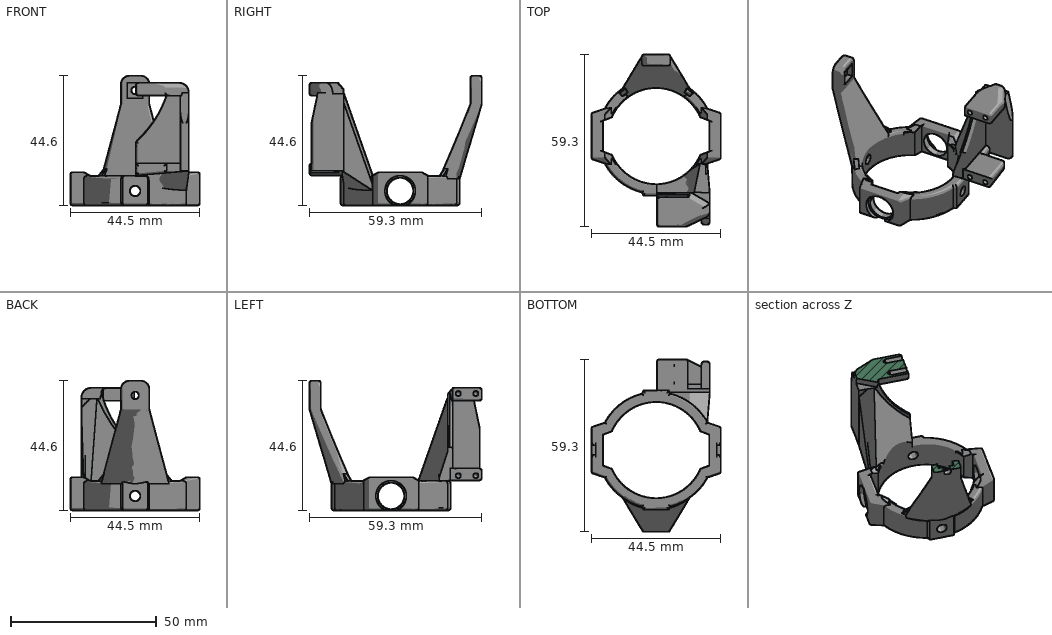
import cadquery as cq
import math

NEAR = 0.1
CLEAR = 1.0

BORE_R = 16.5
RING_R = 20.0
RING_H = 10.2
EDGE_R = 1.0
PAD_Y = 20.5
PAD_HALF = 4.3
PAD_FLARE = 0.7
PAD_ROOT_Y = PAD_Y - 2 * PAD_FLARE
AXIS_Z = 5.0
SCREW_D = 3.5

BOX_X = 22.25
BOX_ROOT_X = 16.9
BOX_HALF = 7.9
BOX_ROOT_HALF = 9.7
BOX_H = 11.5
BOX_FLAT_HALF = 7.35
BOX_TOP_X = 17.6
BOX_FOOT_X = 15.0
BOX_FOOT_Z = 10.0
BOX_HOLLOW = 0.2
BOX_ROUND = 0.9
POCKET_X = 18.2
POCKET_HALF = 5.3
POCKET_MOUTH_X = 15.0
POCKET_MOUTH_HALF = 6.5
PIVOT_D = 9.0
PIVOT_RECESS_D = 10.5
PIVOT_RECESS_DEPTH = 1.5

TAB_HALF = 4.9
TAB_BACK = 28.1
TAB_T = 4.0
TAB_BASE_Z = 34.8
TAB_TOP = 44.62
TAB_CORNER_R = 3.0
ARM_OUTER = (12.1, 15.9)
ARM_INNER = (10.1, 13.05)
ARM_ROUND = 0.9
FLARE_INNER_R = 17.9
FLARE_OUTER_R = 19.5
FLARE_WIDE_ANGLE = 42.0
FLARE_NARROW_ANGLE = 33.0
FLARE_TOP = 12.6
NUT_Z = 39.55
NUT_SIZE = 5.3
NUT_DEPTH = 2.0
NUT_SCREW_D = 2.5

CAGE_LEFT = 0.25
CAGE_RIGHT = 18.5
CAGE_BACK = -19.4
CAGE_FRONT = -31.2
WALL_FACE = -21.1
CAGE_TOP = 42.2
CAGE_CORNER_R = 3.5
FLOOR_LEFT_Z = 10.3
FLOOR_RIGHT_Z = 11.9
LOWER_TOP = 14.5
UPPER_BOTTOM = 37.7
LOWER_RIGHT = 10.9
LEDGE_DEPTH = 1.5
SIDE_FACE = 15.5
SIDE_FRONT = -30.5
SIDE_BEND_Z = 28.2
SIDE_TOP_FRONT = -28.3
CURVE_FOOT_Z = 21.8
CURVE_MID = (6.6, 29.2)
CURVE_TOP_X = 12.0
UPPER_STRAIGHT_X = 10.4
UPPER_CORNER_Y = -27.2
UPPER_ROUND = 2.5
SIDE_ROUND = 1.2
TOP_BACK_R = 2.5
SHOULDER_R = 3.75
SHOULDER_ANGLE = -30.0
SHOULDER_X = 12.0
PIN_D = 1.75
PIN_DEPTH = 6.0
PIN_YS = (-23.1, -29.1)
PIN_ZS = (12.0, 40.2)

WEB_FOOT_Z = 5.0
WEB_INNER_R = 14.5
WEB_OUTER_R = 19.7
WEB_TOP = 40.3
WEB_MID_ANGLE = -58.5
WEB_TOP_X = 13.0
WEB_FLANK = ((15.5, -7.5), (17.4, -8.2), (17.5, -8.7), (17.6, -9.2))


def polar(radius, degrees):
    """Point at a radius and an angle from +X."""
    angle = math.radians(degrees)
    return radius * math.cos(angle), radius * math.sin(angle)


def ring_blank():
    """Ring with flat screw pads, front and back."""
    ring = cq.Workplane("XY").circle(RING_R).extrude(RING_H)
    for side in (1, -1):
        pad = (
            cq.Workplane("XY")
            .polyline([
                (-PAD_HALF - PAD_FLARE, 0),
                (-PAD_HALF - PAD_FLARE, side * PAD_ROOT_Y),
                (-PAD_HALF, side * PAD_Y),
                (PAD_HALF, side * PAD_Y),
                (PAD_HALF + PAD_FLARE, side * PAD_ROOT_Y),
                (PAD_HALF + PAD_FLARE, 0),
            ])
            .close()
            .extrude(RING_H)
        )
        ring = ring.union(pad)
    return ring


def box_blank(side):
    """Tapered box whose top slopes down to the ring at both ends."""
    plan = (
        cq.Workplane("XY")
        .polyline([
            (0, BOX_ROOT_HALF),
            (side * BOX_ROOT_X, BOX_ROOT_HALF),
            (side * BOX_X, BOX_HALF),
            (side * BOX_X, -BOX_HALF),
            (side * BOX_ROOT_X, -BOX_ROOT_HALF),
            (0, -BOX_ROOT_HALF),
        ])
        .close()
        .extrude(BOX_H)
    )
    profile = (
        cq.Workplane("YZ")
        .polyline([
            (-BOX_ROOT_HALF, 0),
            (-BOX_ROOT_HALF, RING_H),
            (-BOX_FLAT_HALF, BOX_H),
            (BOX_FLAT_HALF, BOX_H),
            (BOX_ROOT_HALF, RING_H),
            (BOX_ROOT_HALF, 0),
        ])
        .close()
        .extrude(BOX_X, both=True)
    )
    return plan.intersect(profile)


def inner_slope(side):
    """Envelope that lets the box top run down in a hollow to the ring."""
    middle_x = (BOX_TOP_X + BOX_FOOT_X) / 2
    middle_z = (BOX_H + BOX_FOOT_Z) / 2
    return (
        cq.Workplane("XZ")
        .moveTo(side * BOX_X, 0)
        .lineTo(side * BOX_X, BOX_H)
        .lineTo(side * BOX_TOP_X, BOX_H)
        .threePointArc(
            (side * (middle_x - BOX_HOLLOW), middle_z - BOX_HOLLOW),
            (side * BOX_FOOT_X, BOX_FOOT_Z),
        )
        .lineTo(0, BOX_FOOT_Z)
        .lineTo(0, 0)
        .close()
        .extrude(BOX_ROOT_HALF, both=True)
    )


def rounded_box(side):
    """Box with rounded edges wherever it stands clear of the ring."""
    box = box_blank(side)
    clear_edges = cq.selectors.BoxSelector(
        (side * (BOX_ROOT_X / 2 + EDGE_R), -BOX_ROOT_HALF - CLEAR, -CLEAR),
        (side * (BOX_X + CLEAR), BOX_ROOT_HALF + CLEAR, BOX_H + CLEAR),
    )
    outer_edges = box.edges(clear_edges).edges("not(|Z and (>Y or <Y))")
    return outer_edges.fillet(BOX_ROUND).intersect(inner_slope(side))


def ring_opening():
    """Bore together with the pockets inside the two boxes."""
    pockets = (
        cq.Workplane("XY")
        .polyline([
            (-POCKET_X, POCKET_HALF),
            (-POCKET_MOUTH_X, POCKET_MOUTH_HALF),
            (POCKET_MOUTH_X, POCKET_MOUTH_HALF),
            (POCKET_X, POCKET_HALF),
            (POCKET_X, -POCKET_HALF),
            (POCKET_MOUTH_X, -POCKET_MOUTH_HALF),
            (-POCKET_MOUTH_X, -POCKET_MOUTH_HALF),
            (-POCKET_X, -POCKET_HALF),
        ])
        .close()
        .extrude(BOX_H)
    )
    return bore(BOX_H).union(pockets)


def bore(height):
    """Plug filling the bore up to a height."""
    return cq.Workplane("XY").circle(BORE_R).extrude(height)


def clamp_ring():
    """Ring with a rounded top rim and outer edges, and its two boxes."""
    ring = ring_blank().faces("<Z").edges().fillet(EDGE_R)
    ring = ring.cut(bore(RING_H)).faces(">Z").edges().fillet(EDGE_R)
    for side in (1, -1):
        box = rounded_box(side).cut(ring_opening())
        pocket_edge = cq.selectors.BoxSelector(
            (side * POCKET_X - NEAR, -CLEAR, BOX_H - NEAR),
            (side * POCKET_X + NEAR, CLEAR, BOX_H + NEAR),
        )
        ring = ring.union(box.edges(pocket_edge).fillet(BOX_ROUND))
    return ring.cut(ring_opening())


def rear_arm():
    """Arm lofted from the ring's rear arc up to the nut tab."""
    outer_x, outer_y = ARM_OUTER
    inner_x, inner_y = ARM_INNER
    front_y = TAB_BACK - TAB_T
    foot = (
        cq.Workplane("XY", origin=(0, 0, RING_H - EDGE_R))
        .moveTo(-outer_x, outer_y)
        .threePointArc((0, PAD_Y), (outer_x, outer_y))
        .lineTo(inner_x, inner_y)
        .threePointArc((0, BORE_R), (-inner_x, inner_y))
        .close()
        .wire()
        .val()
    )
    head = (
        cq.Workplane("XY", origin=(0, 0, TAB_BASE_Z))
        .moveTo(-TAB_HALF, TAB_BACK)
        .lineTo(TAB_HALF, TAB_BACK)
        .lineTo(TAB_HALF, front_y)
        .lineTo(-TAB_HALF, front_y)
        .close()
        .wire()
        .val()
    )
    arm = cq.Workplane(cq.Solid.makeLoft([foot, head], True))
    tab = (
        cq.Workplane("XY", origin=(0, 0, TAB_BASE_Z))
        .rect(2 * TAB_HALF, TAB_T)
        .extrude(TAB_TOP - TAB_BASE_Z)
        .translate((0, TAB_BACK - TAB_T / 2, 0))
        .edges("|Y and >Z")
        .fillet(TAB_CORNER_R)
    )
    arm = arm.union(tab)
    free_edges = arm.edges(cq.selectors.BoxSelector(
        (-outer_x, inner_y, RING_H + EDGE_R),
        (outer_x, TAB_BACK + CLEAR, TAB_TOP + CLEAR),
    ))
    return free_edges.fillet(ARM_ROUND)


def floor_z(x):
    """Height of the cage's sloping underside at x."""
    slope = (FLOOR_RIGHT_Z - FLOOR_LEFT_Z) / (CAGE_RIGHT - CAGE_LEFT)
    return FLOOR_LEFT_Z + slope * (x - CAGE_LEFT)


def back_wall():
    """Back wall with a curved upper left edge, rounded along its front."""
    return (
        cq.Workplane("XZ", origin=(0, CAGE_BACK, 0))
        .moveTo(CAGE_LEFT, FLOOR_LEFT_Z)
        .lineTo(CAGE_LEFT, CURVE_FOOT_Z)
        .threePointArc(CURVE_MID, (CURVE_TOP_X, CAGE_TOP))
        .lineTo(CAGE_RIGHT - CAGE_CORNER_R, CAGE_TOP)
        .radiusArc((CAGE_RIGHT, CAGE_TOP - CAGE_CORNER_R), CAGE_CORNER_R)
        .lineTo(CAGE_RIGHT, FLOOR_RIGHT_Z)
        .close()
        .extrude(CAGE_BACK - WALL_FACE)
        .edges(cq.selectors.BoxSelector(
            (CAGE_LEFT - CLEAR, WALL_FACE - NEAR, FLOOR_LEFT_Z + CLEAR),
            (CURVE_TOP_X - CLEAR, WALL_FACE + NEAR, UPPER_BOTTOM),
        ))
        .fillet(EDGE_R)
    )


def side_wall():
    """Side wall with a rounded front edge that leans back near the top."""
    wall = (
        cq.Workplane("YZ", origin=(SIDE_FACE, 0, 0))
        .polyline([
            (CAGE_BACK, FLOOR_RIGHT_Z),
            (SIDE_FRONT, FLOOR_RIGHT_Z),
            (SIDE_FRONT, SIDE_BEND_Z),
            (SIDE_TOP_FRONT, UPPER_BOTTOM + EDGE_R),
            (CAGE_BACK, UPPER_BOTTOM + EDGE_R),
        ])
        .close()
        .extrude(CAGE_RIGHT - SIDE_FACE)
    )
    front_edges = wall.faces("<Y or (<Y[-2])").edges("<X or >X")
    return front_edges.fillet(SIDE_ROUND)


def lower_plate():
    """Lower drilled plate and the narrow ledge that joins it to the side wall."""
    plate = (
        cq.Workplane("XZ", origin=(0, CAGE_BACK - EDGE_R, 0))
        .polyline([
            (CAGE_LEFT, FLOOR_LEFT_Z),
            (CAGE_LEFT, LOWER_TOP),
            (LOWER_RIGHT, LOWER_TOP),
            (LOWER_RIGHT, floor_z(LOWER_RIGHT)),
        ])
        .close()
        .extrude(CAGE_BACK - EDGE_R - CAGE_FRONT)
    )
    plate = plate.faces("<Y").edges().fillet(EDGE_R)
    ledge = (
        cq.Workplane("XZ", origin=(0, WALL_FACE, 0))
        .polyline([
            (LOWER_RIGHT - EDGE_R, floor_z(LOWER_RIGHT)),
            (LOWER_RIGHT - EDGE_R, LOWER_TOP),
            (SIDE_FACE, LOWER_TOP),
            (SIDE_FACE, floor_z(SIDE_FACE)),
        ])
        .close()
        .extrude(LEDGE_DEPTH)
    )
    ledge = ledge.faces("<Y").edges(">Z").fillet(EDGE_R)
    return plate.union(ledge)


def top_edge_waste(radius):
    """Material outside a rounding of an edge that runs along X at y = 0, z = 0."""
    reach = CAGE_RIGHT - CAGE_FRONT
    middle = radius * (1 - math.sin(math.pi / 4))
    return (
        cq.Workplane("YZ")
        .moveTo(-radius, 0)
        .threePointArc((-middle, -middle), (0, -radius))
        .lineTo(radius, -radius)
        .lineTo(radius, radius)
        .lineTo(-radius, radius)
        .close()
        .extrude(reach, both=True)
    )


def top_back_waste():
    """Roundings of the cage's top back edge and of its slanted right shoulder."""
    back = top_edge_waste(TOP_BACK_R).translate((0, CAGE_BACK, CAGE_TOP))
    shoulder = (
        top_edge_waste(SHOULDER_R)
        .rotate((0, 0, 0), (0, 0, 1), SHOULDER_ANGLE)
        .translate((SHOULDER_X, CAGE_BACK, CAGE_TOP))
    )
    return back.union(shoulder)


def upper_plate():
    """Upper drilled plate, cut back at an angle towards the side wall."""
    plate = (
        cq.Workplane("XY", origin=(0, 0, UPPER_BOTTOM))
        .polyline([
            (CAGE_LEFT, WALL_FACE),
            (CAGE_LEFT, CAGE_FRONT),
            (UPPER_STRAIGHT_X, CAGE_FRONT),
            (CAGE_RIGHT, UPPER_CORNER_Y),
            (CAGE_RIGHT, CAGE_BACK),
            (CURVE_TOP_X, CAGE_BACK),
            (CURVE_TOP_X - EDGE_R, WALL_FACE),
        ])
        .close()
        .extrude(CAGE_TOP - UPPER_BOTTOM)
    )
    plate = plate.edges("|Y and >X and >Z").fillet(CAGE_CORNER_R)
    slant = cq.selectors.BoxSelector(
        (UPPER_STRAIGHT_X, CAGE_FRONT, CAGE_TOP - EDGE_R),
        (CAGE_RIGHT - EDGE_R, UPPER_CORNER_Y, CAGE_TOP + EDGE_R),
    )
    plate = plate.edges(slant).fillet(UPPER_ROUND)
    front_left = cq.selectors.BoxSelector(
        (CAGE_LEFT - CLEAR, CAGE_FRONT - CLEAR, UPPER_BOTTOM - CLEAR),
        (UPPER_STRAIGHT_X - EDGE_R, WALL_FACE - EDGE_R, CAGE_TOP + CLEAR),
    )
    return plate.edges(front_left).fillet(EDGE_R)


def ruled_solid(foot, head):
    """Solid whose sides join the edges of two flat outlines pair by pair."""
    foot_edges = foot.Edges()
    head_edges = head.Edges()
    sides = [cq.Face.makeRuledSurface(a, b) for a, b in zip(foot_edges, head_edges)]
    caps = [cq.Face.makeFromWires(foot), cq.Face.makeFromWires(head)]
    return cq.Workplane(cq.Solid.makeSolid(cq.Shell.makeShell(sides + caps)))


def web():
    """Gusset lofted from the ring's front right arc out to the back wall."""
    left = CAGE_LEFT
    inner_mid = polar(WEB_INNER_R, WEB_MID_ANGLE)
    outer_mid = polar(WEB_OUTER_R, WEB_MID_ANGLE)
    foot = (
        cq.Workplane("XY", origin=(0, 0, WEB_FOOT_Z))
        .moveTo(left, -math.sqrt(WEB_INNER_R**2 - left**2))
        .threePointArc(inner_mid, WEB_FLANK[0])
        .lineTo(*WEB_FLANK[1])
        .lineTo(*WEB_FLANK[2])
        .lineTo(*WEB_FLANK[3])
        .threePointArc(outer_mid, (left, -math.sqrt(WEB_OUTER_R**2 - left**2)))
        .close()
        .wire()
        .val()
    )
    head = (
        cq.Workplane("XZ", origin=(0, CAGE_BACK - EDGE_R / 2, 0))
        .moveTo(left, CURVE_FOOT_Z)
        .threePointArc(CURVE_MID, (WEB_TOP_X, WEB_TOP))
        .lineTo(CAGE_RIGHT - CAGE_CORNER_R, WEB_TOP)
        .lineTo(CAGE_RIGHT, WEB_TOP - CAGE_CORNER_R)
        .lineTo(CAGE_RIGHT, FLOOR_RIGHT_Z)
        .lineTo(left, FLOOR_LEFT_Z)
        .close()
        .wire()
        .val()
    )
    return ruled_solid(foot, head)


def radial_holes():
    """Screw holes through the pads and recessed pivot holes through the boxes."""
    holes = (
        cq.Workplane("XZ", origin=(0, 0, AXIS_Z))
        .circle(SCREW_D / 2)
        .extrude(PAD_Y + CLEAR, both=True)
    )
    pivots = (
        cq.Workplane("YZ", origin=(0, 0, AXIS_Z))
        .circle(PIVOT_D / 2)
        .extrude(BOX_X, both=True)
    )
    holes = holes.union(pivots)
    for side in (1, -1):
        recess = (
            cq.Workplane("YZ", origin=(side * BOX_X, 0, AXIS_Z))
            .circle(PIVOT_RECESS_D / 2)
            .extrude(-side * PIVOT_RECESS_DEPTH)
        )
        holes = holes.union(recess)
    return holes


def nut_seat():
    """Square nut recess in the tab with a screw hole behind it."""
    front_y = TAB_BACK - TAB_T
    seat = (
        cq.Workplane("XZ", origin=(0, front_y, NUT_Z))
        .rect(NUT_SIZE, NUT_SIZE)
        .extrude(-NUT_DEPTH)
    )
    screw = (
        cq.Workplane("XZ", origin=(0, front_y, NUT_Z))
        .circle(NUT_SCREW_D / 2)
        .extrude(-TAB_T)
    )
    return seat.union(screw)


def pin_holes():
    """Blind cone-bottomed holes in the left ends of both plates."""
    radius = PIN_D / 2
    drill = (
        cq.Workplane("XZ")
        .polyline([(0, 0), (0, radius), (PIN_DEPTH, radius), (PIN_DEPTH + radius, 0)])
        .close()
        .revolve(360, (0, 0, 0), (1, 0, 0))
    )
    drills = cq.Workplane("XY")
    for y in PIN_YS:
        for z in PIN_ZS:
            drills = drills.union(drill.translate((CAGE_LEFT, y, z)))
    return drills


def sector_wire(inner_r, outer_r, half_angle, z):
    """Outline of a ring sector centred on +Y."""
    inner_right = polar(inner_r, 90 - half_angle)
    inner_left = polar(inner_r, 90 + half_angle)
    outer_right = polar(outer_r, 90 - half_angle)
    outer_left = polar(outer_r, 90 + half_angle)
    return (
        cq.Workplane("XY", origin=(0, 0, z))
        .moveTo(*inner_right)
        .threePointArc((0, inner_r), inner_left)
        .lineTo(*outer_left)
        .threePointArc((0, outer_r), outer_right)
        .close()
        .wire()
        .val()
    )


def arm_foot():
    """Flare that widens the arm's foot where it meets the ring."""
    wide = sector_wire(FLARE_INNER_R, FLARE_OUTER_R, FLARE_WIDE_ANGLE, RING_H - EDGE_R / 2)
    narrow = sector_wire(FLARE_INNER_R, FLARE_OUTER_R, FLARE_NARROW_ANGLE, FLARE_TOP)
    return cq.Workplane(cq.Solid.makeLoft([wide, narrow], True))


cage = back_wall().union(side_wall()).union(lower_plate()).union(upper_plate())
cage = cage.union(web()).cut(top_back_waste()).cut(bore(CAGE_TOP))

result = (
    clamp_ring()
    .union(rear_arm().cut(bore(TAB_TOP)))
    .union(arm_foot())
    .union(cage)
    .cut(radial_holes())
    .cut(nut_seat())
    .cut(pin_holes())
)